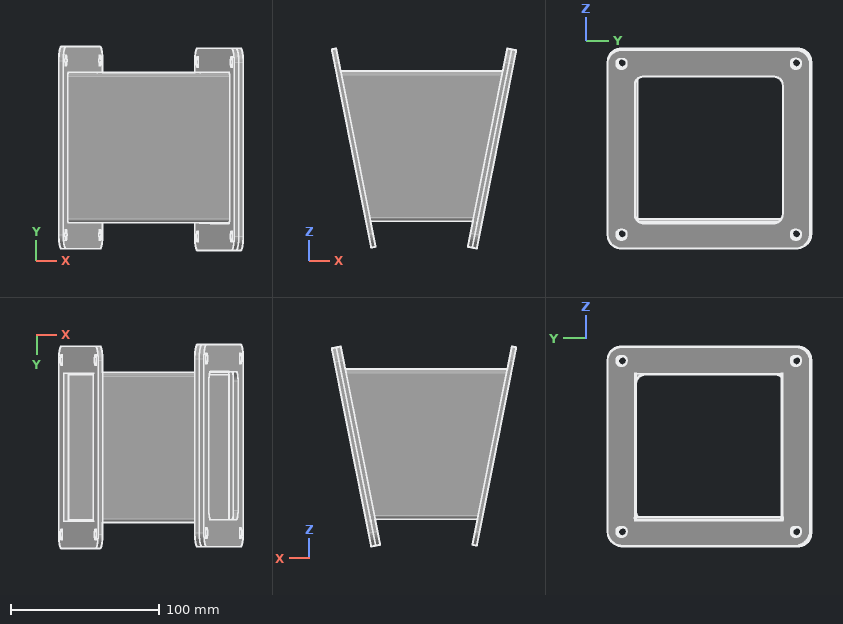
import cadquery as cq
import math


tilt = 11.25
end_spacing = 88.6

tube_size = 101.5
tube_wall = 1.8
tube_corner_radius = 2.8

plate_size = 136.5
plate_thickness = 3.2
plate_corner_radius = 9.5
plate_drop = 1.0
plate_offset = 1.1

hole_diameter = 7.2
hole_inset = plate_corner_radius

opening_width = 99.9
opening_height = 101.0
opening_drop = 0.48
cover_opening_radius = 6.3


def end_plane(side, outward=0):
    """Plane on a slanted end: local x along Y, local y up the slope, normal outward.

    side is -1 for the -X end and +1 for the +X end; outward moves the plane out along its normal.
    """
    angle = math.radians(tilt)
    normal = cq.Vector(side * math.cos(angle), 0, -math.sin(angle))
    shift = -plate_offset if side > 0 else 0
    centre = cq.Vector(side * end_spacing / 2, shift, -plate_drop)
    return cq.Plane(origin=centre + normal * outward, xDir=(0, side, 0), normal=normal)


def make_tube():
    """Square tube along X, trimmed by the inner faces of the two flanges."""
    raw_length = 2 * end_spacing
    inner_size = tube_size - 2 * tube_wall
    tube = (
        cq.Workplane("YZ")
        .rect(tube_size, tube_size)
        .extrude(raw_length / 2, both=True)
        .edges("|X")
        .fillet(tube_corner_radius)
    )
    bore = cq.Workplane("YZ").rect(inner_size, inner_size).extrude(raw_length / 2, both=True)
    tube = tube.cut(bore)
    for side in (-1, 1):
        trim = cq.Workplane(end_plane(side)).rect(raw_length, raw_length).extrude(raw_length)
        tube = tube.cut(trim)
    return tube


def make_plate(plane, opening_radius=0):
    """Rounded square plate on the plane, with four corner holes and a central opening."""
    hole_spacing = plate_size - 2 * hole_inset
    thickness_edges = cq.selectors.ParallelDirSelector(plane.zDir)
    plate = (
        cq.Workplane(plane)
        .rect(plate_size, plate_size)
        .extrude(plate_thickness)
        .edges(thickness_edges)
        .fillet(plate_corner_radius)
    )
    holes = (
        cq.Workplane(plane)
        .rect(hole_spacing, hole_spacing, forConstruction=True)
        .vertices()
        .circle(hole_diameter / 2)
        .extrude(plate_thickness)
    )
    opening = (
        cq.Workplane(plane)
        .center(0, -opening_drop)
        .rect(opening_width, opening_height)
        .extrude(plate_thickness)
    )
    if opening_radius > 0:
        opening = opening.edges(thickness_edges).fillet(opening_radius)
    return plate.cut(holes).cut(opening)


tube = make_tube()
flanges = [make_plate(end_plane(side)) for side in (-1, 1)]
cover = make_plate(end_plane(1, plate_thickness), cover_opening_radius)

result = cq.Compound.makeCompound(
    [tube.val(), *[flange.val() for flange in flanges], cover.val()]
)